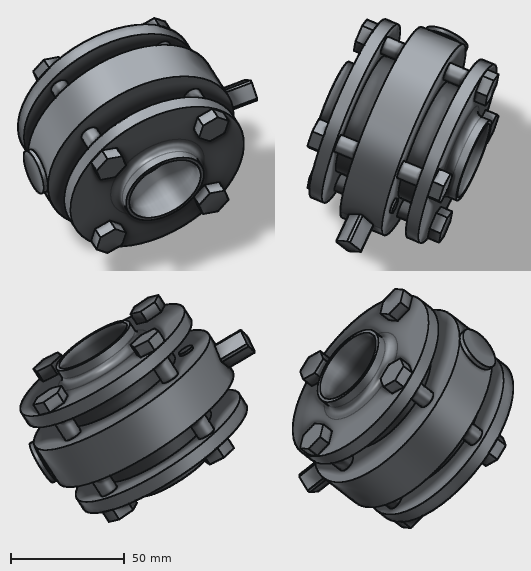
import cadquery as cq


BODY_HALF_WIDTH = 10.0
FLANGE_INNER_X = 20.1
FLANGE_THICKNESS = 6.1
FLANGE_OUTER_X = FLANGE_INNER_X + FLANGE_THICKNESS
PIPE_END_X = 34.0

BODY_RADIUS = 45.5
HUB_RADIUS = 27.6
FLANGE_RADIUS = 42.5
PIPE_RADIUS = 19.1
PIPE_WALL = 1.6
BORE_RADIUS = PIPE_RADIUS - PIPE_WALL
NECK_FILLET = 3.8

BOLT_COUNT = 4
BOLT_CIRCLE_RADIUS = 35.5
BOLT_RADIUS = 4.0
HEAD_ACROSS_FLATS = 13.0
HEAD_CORNER_DIAMETER = HEAD_ACROSS_FLATS * 2 / 3**0.5
HEAD_HEIGHT = 5.4

BOSS_Y = 33.4
BOSS_RADIUS = 3.4
BOSS_HEIGHT = 1.1

STEM_RADIUS = 6.0
STEM_FLAT_DISTANCE = 4.7
STEM_END_Y = 58.9
CAP_RADIUS = BODY_HALF_WIDTH
CAP_THICKNESS = 2.1
CAP_OUTER_Y = -(BODY_RADIUS + CAP_THICKNESS)


def x_cylinder(radius, x_start, x_end, y=0):
    """Cylinder along X, centred on the given Y at Z = 0."""
    return cq.Workplane("YZ", origin=(x_start, y, 0)).circle(radius).extrude(x_end - x_start)


def y_cylinder(radius, y_start, y_end):
    """Cylinder on the stem axis."""
    return cq.Workplane("XZ", origin=(0, y_end, 0)).circle(radius).extrude(y_end - y_start)


def square_stem():
    """Stem with four flats at 45 degrees to X, leaving narrow round corners between them."""
    flats_width = 2 * STEM_FLAT_DISTANCE
    square = (
        cq.Workplane("XZ", origin=(0, STEM_END_Y, 0))
        .rect(flats_width, flats_width)
        .extrude(STEM_END_Y)
        .rotate((0, 0, 0), (0, 1, 0), 45)
    )
    return y_cylinder(STEM_RADIUS, 0, STEM_END_Y).intersect(square)


def end_cap():
    """Round cap opposite the stem, its inner face level with the body rim, on a shaft into the body."""
    shaft = y_cylinder(STEM_RADIUS, -BODY_RADIUS, 0)
    return y_cylinder(CAP_RADIUS, CAP_OUTER_Y, -BODY_RADIUS).union(shaft)


def valve():
    """Closed wafer body with its stem, end cap and side bosses."""
    body = x_cylinder(BODY_RADIUS, -BODY_HALF_WIDTH, BODY_HALF_WIDTH)
    boss_end = BODY_HALF_WIDTH + BOSS_HEIGHT
    bosses = x_cylinder(BOSS_RADIUS, -boss_end, boss_end, BOSS_Y)
    return body.union(square_stem()).union(end_cap()).union(bosses)


def turned_flange():
    """Hub, flange and filleted pipe neck, revolved about X around the bore."""
    fillet_foot_radius = PIPE_RADIUS + NECK_FILLET
    fillet_end_x = FLANGE_OUTER_X + NECK_FILLET
    fillet_mid = NECK_FILLET * (1 - 0.5**0.5)
    profile = (
        cq.Workplane("XZ")
        .moveTo(BODY_HALF_WIDTH, BORE_RADIUS)
        .lineTo(BODY_HALF_WIDTH, HUB_RADIUS)
        .lineTo(FLANGE_INNER_X, HUB_RADIUS)
        .lineTo(FLANGE_INNER_X, FLANGE_RADIUS)
        .lineTo(FLANGE_OUTER_X, FLANGE_RADIUS)
        .lineTo(FLANGE_OUTER_X, fillet_foot_radius)
        .threePointArc(
            (FLANGE_OUTER_X + fillet_mid, PIPE_RADIUS + fillet_mid),
            (fillet_end_x, PIPE_RADIUS),
        )
        .lineTo(PIPE_END_X, PIPE_RADIUS)
        .lineTo(PIPE_END_X, BORE_RADIUS)
        .close()
    )
    return profile.revolve(360, (0, 0, 0), (1, 0, 0))


def bolt(angle):
    """Bolt shank and hexagon head, with one flat of the head facing radially outward."""
    shank = x_cylinder(BOLT_RADIUS, BODY_HALF_WIDTH, FLANGE_OUTER_X)
    head = (
        cq.Workplane("YZ", origin=(FLANGE_OUTER_X, 0, 0))
        .polygon(6, HEAD_CORNER_DIAMETER)
        .extrude(HEAD_HEIGHT)
        .rotate((0, 0, 0), (1, 0, 0), 30)
    )
    placed = shank.union(head).translate((0, BOLT_CIRCLE_RADIUS, 0))
    return placed.rotate((0, 0, 0), (1, 0, 0), angle)


def weld_flange():
    """Weld flange on the +X side with its bolts, which end at the valve body."""
    flange = turned_flange()
    for i in range(BOLT_COUNT):
        flange = flange.union(bolt((i + 0.5) * 360 / BOLT_COUNT))
    return flange


valve_body = valve()
weld_flanges = []
for turn in (0, 180):
    weld_flanges.append(weld_flange().rotate((0, 0, 0), (0, 0, 1), turn).val())

result = cq.Compound.makeCompound([valve_body.val(), *weld_flanges])